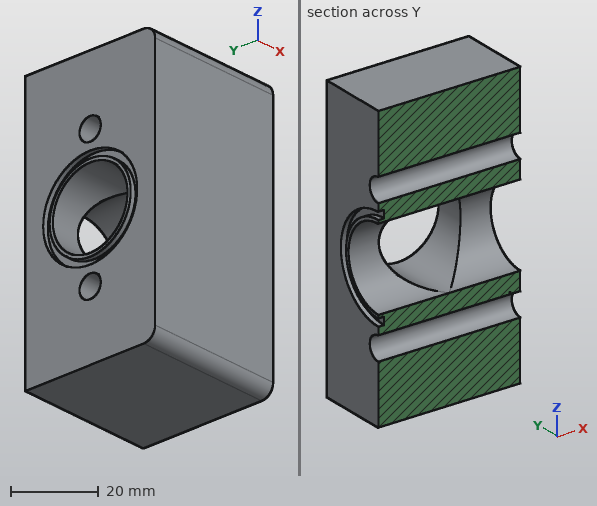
import cadquery as cq

width = 40.0
depth = 40.0
height = 80.0
edge_radius = 3.5

bore_diameter = 23.0

screw_hole_diameter = 6.6
screw_hole_spacing = 40.0

groove_outer_diameter = 29.0
groove_inner_diameter = 25.0
groove_depth = 1.6


def make_block():
    block = cq.Workplane("XY").box(width, depth, height)
    return block.edges("|X and <Y").fillet(edge_radius)


def cylinder_along_x(diameter, length, z=0.0):
    """Cylinder running from the -X face into the block."""
    face = cq.Workplane("YZ", origin=(-width / 2, 0, z))
    return face.circle(diameter / 2).extrude(length)


def make_groove():
    outer = cylinder_along_x(groove_outer_diameter, groove_depth)
    return outer.cut(cylinder_along_x(groove_inner_diameter, groove_depth))


def make_side_port():
    """Cylinder from the +Y face to the axis of the main bore."""
    return cq.Workplane("XZ").circle(bore_diameter / 2).extrude(-depth / 2)


result = make_block()
result = result.cut(cylinder_along_x(bore_diameter, width))
result = result.cut(make_side_port())
result = result.cut(make_groove())
for side in (-1, 1):
    screw_hole_z = side * screw_hole_spacing / 2
    result = result.cut(cylinder_along_x(screw_hole_diameter, width, screw_hole_z))